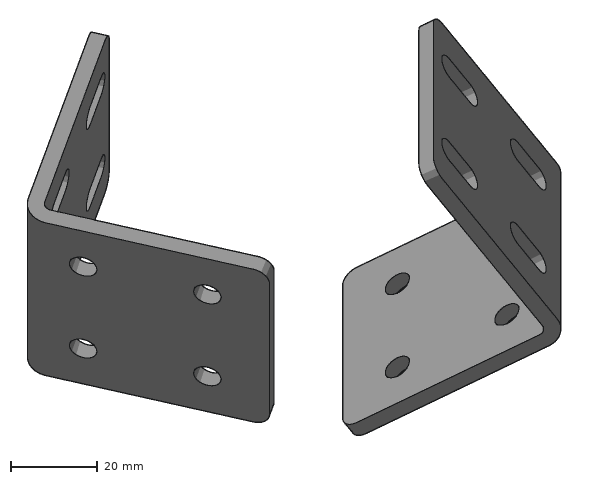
import cadquery as cq

leg_length = 60.0
height = 56.0
thickness = 4.0

inner_bend_radius = 2.0
outer_bend_radius = inner_bend_radius + thickness
corner_radius = 4.0

hole_diameter = 6.6
hole_pitch = 30.0
first_hole_offset = 15.0
slot_travel = 9.0
first_slot_offset = 18.5
slot_length = slot_travel + hole_diameter


def bent_sheet():
    """L profile with its outer corner at the origin, extruded along Z."""
    profile = (
        cq.Workplane("XY")
        .moveTo(leg_length, 0)
        .lineTo(outer_bend_radius, 0)
        .radiusArc((0, outer_bend_radius), outer_bend_radius)
        .lineTo(0, leg_length)
        .lineTo(thickness, leg_length)
        .lineTo(thickness, outer_bend_radius)
        .radiusArc((outer_bend_radius, thickness), -inner_bend_radius)
        .lineTo(leg_length, thickness)
        .close()
    )
    return profile.extrude(height)


def round_free_corners(body):
    """Round the top and bottom corners at the free end of each leg."""
    body = body.faces(">X").edges("|Y").fillet(corner_radius)
    return body.faces(">Y").edges("|X").fillet(corner_radius)


def pattern_centres(first_offset):
    """Centres of the 2 x 2 pattern as (distance along the leg, Z)."""
    columns = (first_offset, first_offset + hole_pitch)
    rows = ((height - hole_pitch) / 2, (height + hole_pitch) / 2)
    return [(column, row) for column in columns for row in rows]


def hole_cutters():
    """Round holes through the leg that runs along X."""
    return (
        cq.Workplane("XZ")
        .pushPoints(pattern_centres(first_hole_offset))
        .circle(hole_diameter / 2)
        .extrude(-thickness)
    )


def slot_cutters():
    """Slots, elongated along Y, through the leg that runs along Y."""
    return (
        cq.Workplane("YZ")
        .pushPoints(pattern_centres(first_slot_offset))
        .slot2D(slot_length, hole_diameter)
        .extrude(thickness)
    )


bracket = round_free_corners(bent_sheet())
result = bracket.cut(hole_cutters()).cut(slot_cutters())